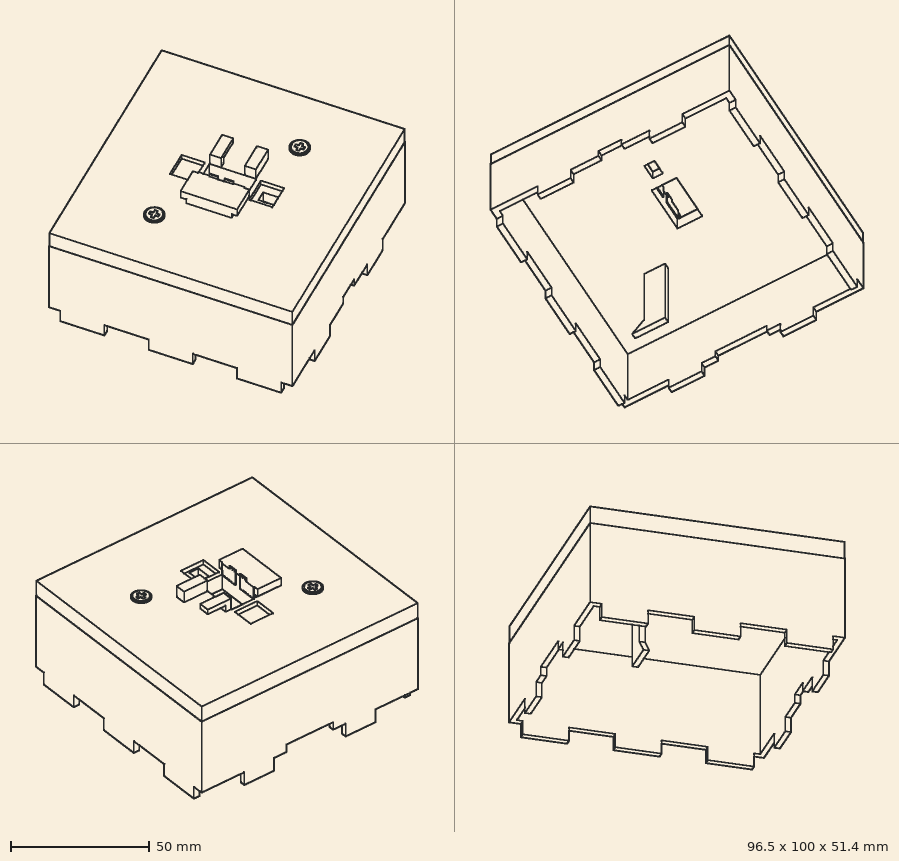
import cadquery as cq


length_x = 96.5
length_y = 100.0
side_wall = 2.2
end_wall = 2.6
lid_bottom = 32.2
lid_top = 39.0
lid_inset = 0.1

end_tab_width = 17.5
end_tab_spacing = 35.0
end_tab_drop = 5.4
side_tab_width = 13.8
side_tab_offset = 23.4
side_tab_drop = 5.8

notch_height = 3.4
left_notch_width = 21.4
right_notch_width = 9.6

leg_center_x = -20.9
leg_bevel_run = 5.0

slot_width = 18.6
slot_depth_y = 10.4
pocket_inner_x = 11.1
pocket_outer_x = 20.3
pocket_depth = 2.0
window_size_x = 6.1
window_size_y = 4.2
window_center = (16.5, -0.2)

cap_width = 22.4
cap_length = 10.9
cap_top = 44.4
cap_underside = 41.0
foot_width = 18.0

rib_inner_x = 1.3
rib_outer_x = 9.2
rib_thickness = 0.4
lug_width = 3.5
lug_top = 45.6

prong_inner_x = 4.7
prong_outer_x = 9.1
prong_gap = 0.1
prong_length = 10.8
prong_top = 43.9
hook_underside = 41.8
hook_leg_length = 2.5

screw_x = 17.2
screw_y = 26.0
screw_seat_radius = 3.8
screw_seat_depth = 0.3
screw_head_radius = 3.2
screw_height = 0.4
cross_length = 3.7
cross_width = 1.2
cross_depth = 0.2

slot_back = slot_depth_y / 2
slot_front = -slot_depth_y / 2


def block(x_range, y_range, z_range):
    """Axis-aligned block between the given limits."""
    sizes = [high - low for low, high in (x_range, y_range, z_range)]
    corner = (x_range[0], y_range[0], z_range[0])
    return cq.Workplane("XY").box(*sizes, centered=False).translate(corner)


def centered_range(middle, size):
    return (middle - size / 2, middle + size / 2)


def make_box():
    """Open-bottomed box closed by a thick, slightly smaller lid."""
    outer = block(centered_range(0, length_x), centered_range(0, length_y), (0, lid_bottom))
    cavity = block(
        centered_range(0, length_x - 2 * side_wall),
        centered_range(0, length_y - 2 * end_wall),
        (0, lid_bottom),
    )
    lid = block(
        centered_range(0, length_x - 2 * lid_inset),
        centered_range(0, length_y - 2 * lid_inset),
        (lid_bottom, lid_top),
    )
    return outer.cut(cavity).union(lid)


def add_tabs(body):
    """Three tabs below each end wall and two below each side wall."""
    for side in (-1, 1):
        end_y = centered_range(side * (length_y - end_wall) / 2, end_wall)
        for step in (-1, 0, 1):
            tab_x = centered_range(step * end_tab_spacing, end_tab_width)
            body = body.union(block(tab_x, end_y, (-end_tab_drop, lid_bottom)))
        side_x = centered_range(side * (length_x - side_wall) / 2, side_wall)
        for direction in (-1, 1):
            tab_y = centered_range(direction * side_tab_offset, side_tab_width)
            body = body.union(block(side_x, tab_y, (-side_tab_drop, lid_bottom)))
    return body


def cut_notches(body):
    """A wide notch in the -X wall and a narrow one in the +X wall."""
    for side, width in ((-1, left_notch_width), (1, right_notch_width)):
        wall_x = centered_range(side * (length_x - side_wall) / 2, side_wall)
        body = body.cut(block(wall_x, centered_range(0, width), (0, notch_height)))
    return body


def make_leg():
    """Plate hanging from the lid, with a foot bevelled on its -Y edge."""
    leg_front, leg_back = centered_range(-side_tab_offset, side_tab_width)
    return (
        cq.Workplane("YZ", origin=(leg_center_x, 0, 0))
        .moveTo(leg_front, -side_tab_drop)
        .lineTo(leg_back, -side_tab_drop)
        .lineTo(leg_back, lid_bottom)
        .lineTo(leg_front + leg_bevel_run, lid_bottom)
        .lineTo(leg_front + leg_bevel_run, 0)
        .close()
        .extrude(side_wall / 2, both=True)
    )


def cut_lid_openings(body):
    """Through slot, two shallow pockets and the window in the right pocket."""
    slot_y = (slot_front, slot_back)
    pocket_z = (lid_top - pocket_depth, lid_top)
    body = body.cut(block(centered_range(0, slot_width), slot_y, (lid_bottom, lid_top)))
    body = body.cut(block((-pocket_outer_x, -pocket_inner_x), slot_y, pocket_z))
    body = body.cut(block((pocket_inner_x, pocket_outer_x), slot_y, pocket_z))
    window = block(
        centered_range(window_center[0], window_size_x),
        centered_range(window_center[1], window_size_y),
        (lid_bottom, lid_top),
    )
    return body.cut(window)


def make_slider_cap():
    """Overhanging cap on a narrower foot, with two ribs and lugs on its back."""
    cap_y = (slot_front - cap_length, slot_front)
    rib_y = (slot_front, slot_front + rib_thickness)
    cap = block(centered_range(0, cap_width), cap_y, (cap_underside, cap_top))
    cap = cap.union(block(centered_range(0, foot_width), cap_y, (lid_top, cap_top)))
    rib = block((rib_inner_x, rib_outer_x), rib_y, (lid_top, cap_top))
    lug = block((rib_inner_x, rib_inner_x + lug_width), rib_y, (lid_top, lug_top))
    right_rib = rib.union(lug)
    return cap.union(right_rib).union(right_rib.mirror("YZ"))


def make_prongs():
    """Solid prong on the right and an undercut, hook-shaped prong on the left."""
    prong_front = slot_back + prong_gap
    prong_back = prong_front + prong_length
    right_prong = block((prong_inner_x, prong_outer_x), (prong_front, prong_back), (lid_top, prong_top))
    undercut = block(
        (-prong_outer_x, -prong_inner_x),
        (prong_front + hook_leg_length, prong_back),
        (lid_top, hook_underside),
    )
    left_prong = right_prong.mirror("YZ").cut(undercut)
    return right_prong.union(left_prong)


def add_screw(body, x, y):
    """Flat screw head with a cross recess, standing in a shallow seat."""
    top_center = (x, y, lid_top + screw_height)
    seat = cq.Workplane("XY", origin=(x, y, lid_top)).circle(screw_seat_radius).extrude(-screw_seat_depth)
    head = (
        cq.Workplane("XY", origin=top_center)
        .circle(screw_head_radius)
        .extrude(-screw_height - screw_seat_depth)
    )
    for size_x, size_y in ((cross_length, cross_width), (cross_width, cross_length)):
        arm = cq.Workplane("XY", origin=top_center).rect(size_x, size_y).extrude(-cross_depth)
        head = head.cut(arm)
    return body.cut(seat).union(head)


part = cut_notches(add_tabs(make_box()))
part = part.union(make_leg())
part = cut_lid_openings(part)
part = part.union(make_slider_cap()).union(make_prongs())
for side in (-1, 1):
    part = add_screw(part, side * screw_x, side * screw_y)

result = part